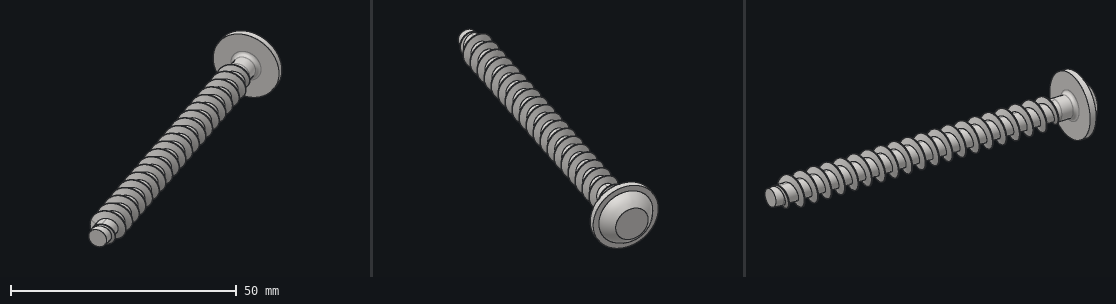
import cadquery as cq
import math

total_length = 84.8
flange_diameter = 16.0
flange_radius = flange_diameter / 2
flange_thickness = 1.6
head_height = 4.75
head_top_radius = 4.0
dome_mid_radius = 5.8
dome_base_radius = 6.6
neck_fillet = 0.9

shaft_length = total_length - head_height
shank_radius = 2.7
shank_length = 4.0
core_radius = 2.4
core_start_depth = 5.3
tip_radius = 2.2
tip_start_depth = 78.0

first_crest_depth = 5.3
last_crest_depth = 77.25
turns_between_crests = 20
pitch = (last_crest_depth - first_crest_depth) / turns_between_crests
thread_radius = 4.0
crest_width = 0.25
root_width = 1.3
root_overlap = 0.25
taper_depth = pitch
thread_start_depth = 3.3
thread_end_depth = 78.9
thread_start_radius = 2.5
thread_end_radius = 2.2
samples_per_turn = 24


def revolve_about_y(outline):
    return outline.close().revolve(360, (0, 0, 0), (0, 1, 0))


def make_body():
    """Domed flange head, filleted neck, shank and plain core."""
    dome_height = head_height - flange_thickness
    outline = (
        cq.Workplane("ZY")
        .moveTo(0, head_height)
        .lineTo(head_top_radius, head_height)
        .threePointArc(
            (dome_mid_radius, flange_thickness + dome_height / 2),
            (dome_base_radius, flange_thickness),
        )
        .lineTo(flange_radius, flange_thickness)
        .lineTo(flange_radius, 0)
        .lineTo(shank_radius + neck_fillet, 0)
        .radiusArc((shank_radius, -neck_fillet), -neck_fillet)
        .lineTo(shank_radius, -shank_length)
        .lineTo(core_radius, -core_start_depth)
        .lineTo(core_radius, -tip_start_depth)
        .lineTo(tip_radius, -shaft_length)
        .lineTo(0, -shaft_length)
    )
    return revolve_about_y(outline)


def crest_radius(depth):
    """Full thread radius, reduced linearly toward both ends of the thread."""
    rise = min((depth - thread_start_depth) / taper_depth, 1)
    fade = min((thread_end_depth - depth) / taper_depth, 1)
    return min(
        thread_start_radius + rise * (thread_radius - thread_start_radius),
        thread_end_radius + fade * (thread_radius - thread_end_radius),
    )


def ridge_edge(first_depth, last_depth, radius_at, offset):
    """One right-handed helical edge of the ridge, shifted along Y by offset."""
    samples = math.ceil(samples_per_turn * (last_depth - first_depth) / pitch)
    points = []
    for index in range(samples + 1):
        depth = first_depth + (last_depth - first_depth) * index / samples
        angle = 2 * math.pi * (last_crest_depth - depth) / pitch
        radius = radius_at(depth)
        points.append(cq.Vector(radius * math.cos(angle), offset - depth, -radius * math.sin(angle)))
    return cq.Edge.makeSpline(points)


def make_thread():
    """Trapezoidal ridge closed by four ruled faces per section and a cap at each end."""
    def root_radius(_):
        return core_radius - root_overlap

    corners = [
        (root_radius, -root_width / 2),
        (crest_radius, -crest_width / 2),
        (crest_radius, crest_width / 2),
        (root_radius, root_width / 2),
    ]
    section_depths = [
        thread_start_depth,
        thread_start_depth + taper_depth,
        thread_end_depth - taper_depth,
        thread_end_depth,
    ]
    faces = []
    sections = []
    for first, last in zip(section_depths, section_depths[1:]):
        edges = [ridge_edge(first, last, radius, offset) for radius, offset in corners]
        sections.append(edges)
        for edge, next_edge in zip(edges, edges[1:] + edges[:1]):
            faces.append(cq.Face.makeRuledSurface(edge, next_edge))

    start_corners = [edge.startPoint() for edge in sections[0]]
    end_corners = [edge.endPoint() for edge in sections[-1]]
    for cap_corners in (start_corners, end_corners):
        faces.append(cq.Face.makeFromWires(cq.Wire.makePolygon(cap_corners, close=True)))
    return cq.Workplane(obj=cq.Solid.makeSolid(cq.Shell.makeShell(faces)).fix())


result = make_body().union(make_thread())